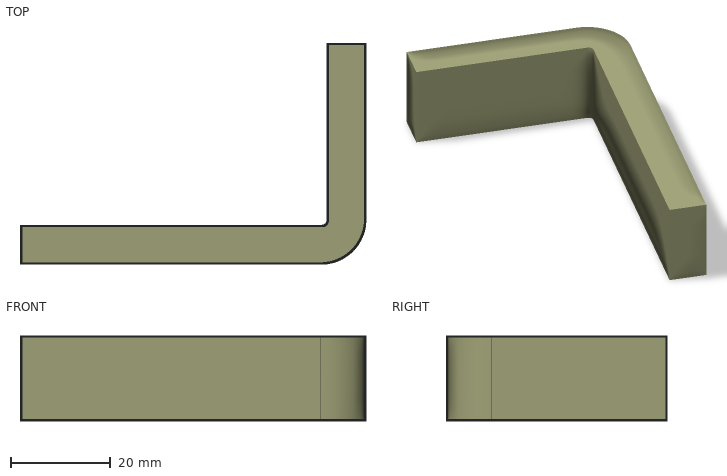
import cadquery as cq

length_x = 69.1
length_y = 44.1
height = 16.85
thickness = 7.6

outer_radius = 9.0
inner_radius = 1.05


def bent_bar():
    """L-shaped bar with its outer corner at the +X, -Y side."""
    long_leg = cq.Workplane("XY").box(length_x, thickness, height, centered=False)
    short_leg = (
        cq.Workplane("XY")
        .box(thickness, length_y, height, centered=False)
        .translate((length_x - thickness, 0, 0))
    )
    return long_leg.union(short_leg)


def round_bend(bar):
    """Round the outside and the inside of the bend."""
    outer_edge = cq.selectors.NearestToPointSelector((length_x, 0, height / 2))
    inner_edge = cq.selectors.NearestToPointSelector((length_x - thickness, thickness, height / 2))
    rounded = bar.edges("|Z").edges(outer_edge).fillet(outer_radius)
    return rounded.edges("|Z").edges(inner_edge).fillet(inner_radius)


result = round_bend(bent_bar())